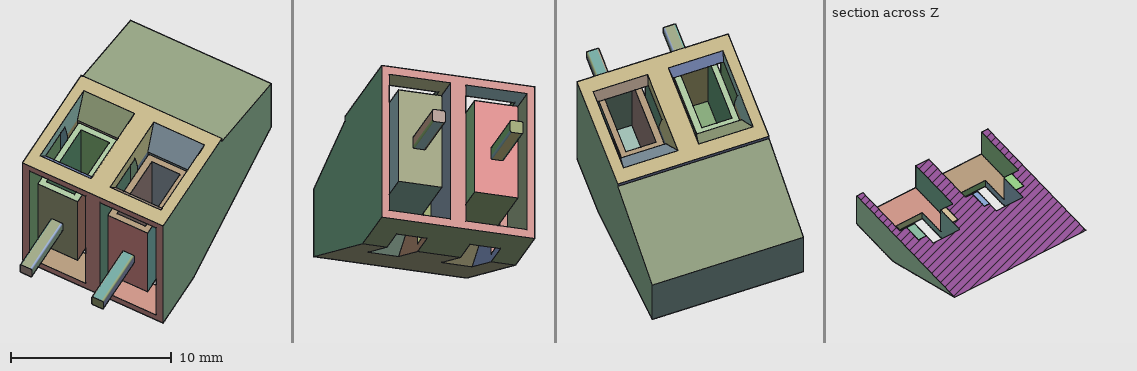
import cadquery as cq
import math

HOUSING_WIDTH = 10.0
HOUSING_DEPTH = 14.0
HOUSING_HEIGHT = 10.53
TOP_FLAT_DEPTH = 7.6
TOP_STEP = 0.32
TOP_SLOPE_ANGLE = 15.0
BOTTOM_FLAT_DEPTH = 3.95
REAR_BOTTOM_Z = 3.8

CAVITY_WIDTH = 4.0
CAVITY_PITCH = 5.0
CAVITY_DEPTH = 4.0
CAVITY_MARGIN = 0.55
CAVITY_FLOOR_Z = CAVITY_MARGIN
CAVITY_ROOF_Z = HOUSING_HEIGHT - CAVITY_MARGIN

POCKET_WIDTH = 3.0
POCKET_DEPTH = 5.3
POCKET_FLOOR_Z = 2.53
POCKET_TOP_Z = 9.2

FUNNEL_MOUTH_WIDTH = 3.6
FUNNEL_PITCH = 4.97
FUNNEL_MOUTH_FRONT_Y = 1.0
FUNNEL_MOUTH_REAR_Y = 6.65
FUNNEL_THROAT_FRONT_Y = 2.2

TERMINAL_WIDTH = 2.83
TERMINAL_PITCH = 4.97
TERMINAL_BOTTOM_Z = 2.65
TERMINAL_TOP_Z = 9.0
TERMINAL_WALL = 0.4
TERMINAL_BORE_WIDTH = 2.0
TERMINAL_FLOOR = 0.4
TERMINAL_BORE_PITCH = 5.02

PIN_SIZE = 0.84
PIN_CORNER_RADIUS = 0.12
PIN_PITCH = 5.08
PIN_LENGTH = 4.0
PIN_CENTER_Z = 5.5

OPENING_WIDTH = 2.0
OPENING_PITCH = 4.8
OPENING_FRONT_Y = 2.0
OPENING_REAR_EDGE_Z = 1.48
OPENING_ROOF_ANGLE = 30.0


def box_between(x_center, width, y_front, y_rear, z_bottom, z_top):
    """Box centred on x_center, given by its Y and Z limits."""
    return (
        cq.Workplane("XY")
        .box(width, y_rear - y_front, z_top - z_bottom, centered=(True, False, False))
        .translate((x_center, y_front, z_bottom))
    )


def make_housing():
    """Side profile extruded across the full width."""
    slope_top_z = HOUSING_HEIGHT - TOP_STEP
    slope_run = HOUSING_DEPTH - TOP_FLAT_DEPTH
    rear_top_z = slope_top_z - slope_run * math.tan(math.radians(TOP_SLOPE_ANGLE))
    profile = [
        (0, 0),
        (BOTTOM_FLAT_DEPTH, 0),
        (HOUSING_DEPTH, REAR_BOTTOM_Z),
        (HOUSING_DEPTH, rear_top_z),
        (TOP_FLAT_DEPTH, slope_top_z),
        (TOP_FLAT_DEPTH, HOUSING_HEIGHT),
        (0, HOUSING_HEIGHT),
    ]
    return cq.Workplane("YZ").polyline(profile).close().extrude(HOUSING_WIDTH / 2, both=True)


def make_funnel(mouth_x, throat_x):
    """Tapered opening from the top face down to the pocket."""
    mouth_length = FUNNEL_MOUTH_REAR_Y - FUNNEL_MOUTH_FRONT_Y
    throat_length = POCKET_DEPTH - FUNNEL_THROAT_FRONT_Y
    mouth_y = (FUNNEL_MOUTH_FRONT_Y + FUNNEL_MOUTH_REAR_Y) / 2
    throat_y = (FUNNEL_THROAT_FRONT_Y + POCKET_DEPTH) / 2
    return (
        cq.Workplane("XY", origin=(throat_x, throat_y, POCKET_TOP_Z))
        .rect(POCKET_WIDTH, throat_length)
        .workplane(offset=HOUSING_HEIGHT - POCKET_TOP_Z)
        .center(mouth_x - throat_x, mouth_y - throat_y)
        .rect(FUNNEL_MOUTH_WIDTH, mouth_length)
        .loft(ruled=True)
    )


def make_opening(x_center):
    """Passage from the cavity out through the flat and sloping parts of the bottom."""
    bottom_slope = REAR_BOTTOM_Z / (HOUSING_DEPTH - BOTTOM_FLAT_DEPTH)
    rear_edge_y = BOTTOM_FLAT_DEPTH + OPENING_REAR_EDGE_Z / bottom_slope
    roof_rise = TERMINAL_BOTTOM_Z - OPENING_REAR_EDGE_Z
    roof_top_y = rear_edge_y - roof_rise / math.tan(math.radians(OPENING_ROOF_ANGLE))
    profile = [
        (OPENING_FRONT_Y, 0),
        (BOTTOM_FLAT_DEPTH, 0),
        (rear_edge_y, OPENING_REAR_EDGE_Z),
        (roof_top_y, TERMINAL_BOTTOM_Z),
        (OPENING_FRONT_Y, TERMINAL_BOTTOM_Z),
    ]
    return (
        cq.Workplane("YZ", origin=(x_center, 0, 0))
        .polyline(profile)
        .close()
        .extrude(OPENING_WIDTH / 2, both=True)
    )


def make_terminal(body_x, bore_x):
    """Terminal block with a blind rectangular bore from the top."""
    body = box_between(body_x, TERMINAL_WIDTH, 0, POCKET_DEPTH, TERMINAL_BOTTOM_Z, TERMINAL_TOP_Z)
    bore = box_between(
        bore_x,
        TERMINAL_BORE_WIDTH,
        TERMINAL_WALL,
        POCKET_DEPTH - TERMINAL_WALL,
        TERMINAL_BOTTOM_Z + TERMINAL_FLOOR,
        TERMINAL_TOP_Z,
    )
    return body.cut(bore)


def make_pin(x_center):
    """Solder pin standing out of the terminal's front face."""
    half_size = PIN_SIZE / 2
    pin = box_between(
        x_center, PIN_SIZE, -PIN_LENGTH, 0, PIN_CENTER_Z - half_size, PIN_CENTER_Z + half_size
    )
    return pin.edges("|Y").fillet(PIN_CORNER_RADIUS)


def make_cavity(x_center):
    """Wide front cavity with the narrow terminal pocket behind it."""
    cavity = box_between(x_center, CAVITY_WIDTH, 0, CAVITY_DEPTH, CAVITY_FLOOR_Z, CAVITY_ROOF_Z)
    pocket = box_between(x_center, POCKET_WIDTH, 0, POCKET_DEPTH, POCKET_FLOOR_Z, POCKET_TOP_Z)
    return cavity.union(pocket)


result = make_housing()
for half_pitch in (-0.5, 0.5):
    cavity_x = half_pitch * CAVITY_PITCH
    terminal_x = half_pitch * TERMINAL_PITCH
    bore_x = half_pitch * TERMINAL_BORE_PITCH
    result = result.cut(make_cavity(cavity_x))
    result = result.cut(make_funnel(half_pitch * FUNNEL_PITCH, cavity_x))
    result = result.cut(make_opening(half_pitch * OPENING_PITCH))
    result = result.union(make_terminal(terminal_x, bore_x))
    result = result.union(make_pin(half_pitch * PIN_PITCH))

result = result.solids()